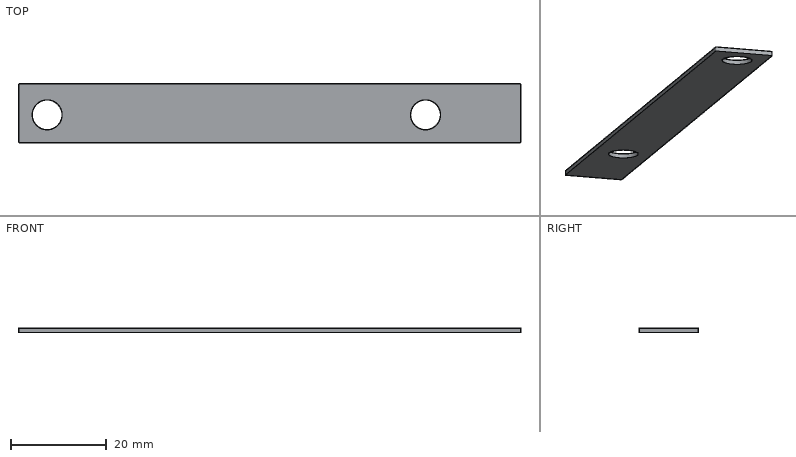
import cadquery as cq

length = 104.9
width = 12.4
thickness = 0.9
corner_radius = 0.3

hole_diameter = 6.2
hole_offset_y = -0.3
left_hole_inset = 6.0
hole_spacing = 79.0
left_hole_x = left_hole_inset - length / 2
hole_centres = [
    (left_hole_x, hole_offset_y),
    (left_hole_x + hole_spacing, hole_offset_y),
]

strip = cq.Workplane("XY").box(length, width, thickness)
strip = strip.edges("|Z").fillet(corner_radius)

result = strip.faces(">Z").workplane(origin=(0, 0, 0)).pushPoints(hole_centres).hole(hole_diameter)